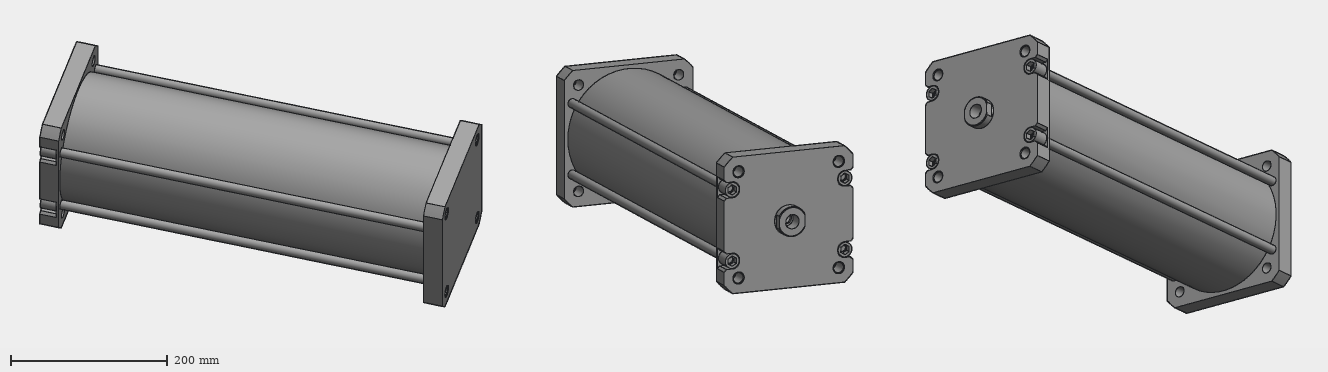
import cadquery as cq

TOTAL_LENGTH = 549.0
ROD_STICK_OUT = 12.0
NOSE_X = -TOTAL_LENGTH / 2
HEAD_FACE_X = NOSE_X + ROD_STICK_OUT
TAIL_FACE_X = TOTAL_LENGTH / 2

CAP_SIZE = 180.0
CAP_CORNER_DIAMETER = 238.5
CAP_THICKNESS = 25.0
MOUNT_HOLE_DIAMETER = 14.0
MOUNT_HOLE_MOUTH_DIAMETER = 16.0
MOUNT_HOLE_SPACING = 140.0
COUNTERSINK_ANGLE = 90
HEAD_INNER_X = HEAD_FACE_X + CAP_THICKNESS
TAIL_INNER_X = TAIL_FACE_X - CAP_THICKNESS

BARREL_DIAMETER = 170.0
BARREL_LENGTH = TAIL_INNER_X - HEAD_INNER_X

ROD_DIAMETER = 39.5
ROD_LENGTH = HEAD_INNER_X - NOSE_X
ROD_TIP_CHAMFER = 1.0
ROD_ACROSS_FLATS = 35.5
FLAT_LENGTH = 10.0
FLAT_CUT = (ROD_DIAMETER - ROD_ACROSS_FLATS) / 2

BORE_DIAMETER = 18.5
BORE_DEPTH = 19.0
CORE_DIAMETER = 15.5
CORE_DEPTH = 24.5
CORE_CONE_DEPTH = 4.5
BORE_STEP = (BORE_DIAMETER - CORE_DIAMETER) / 2

BOLT_SPACING_Y = 157.5
BOLT_SPACING_Z = 94.0
BOLT_DIAMETER = 12.0
BOLT_HEAD_DIAMETER = 19.0
HEX_ACROSS_FLATS = 11.5
HEX_DEPTH = 8.0
PILOT_DIAMETER = 9.5
PILOT_DEPTH = 10.0

POCKET_WIDTH = 21.0
POCKET_DEPTH = 22.0
POCKET_FLARE = 3.5
BOLT_SEAT_X = HEAD_FACE_X + POCKET_DEPTH

BOLT_PLACES = [
    (side * BOLT_SPACING_Y / 2, level * BOLT_SPACING_Z / 2)
    for side in (-1, 1)
    for level in (-1, 1)
]


def plane_at(x):
    """Sketch plane facing +X whose local axes are Y and Z."""
    return cq.Workplane("YZ", origin=(x, 0, 0))


def disc(x, diameter, length, y=0, z=0):
    """Cylinder along +X that starts at x."""
    return plane_at(x).center(y, z).circle(diameter / 2).extrude(length)


def make_cap(x_start, outer_face):
    """Plate with rounded-off corners and four mounting holes countersunk from its outer face."""
    plate = plane_at(x_start).rect(CAP_SIZE, CAP_SIZE).extrude(CAP_THICKNESS)
    plate = plate.intersect(disc(x_start, CAP_CORNER_DIAMETER, CAP_THICKNESS))
    return (
        plate.faces(outer_face)
        .workplane(centerOption="CenterOfBoundBox")
        .rect(MOUNT_HOLE_SPACING, MOUNT_HOLE_SPACING, forConstruction=True)
        .vertices()
        .cskHole(MOUNT_HOLE_DIAMETER, MOUNT_HOLE_MOUTH_DIAMETER, COUNTERSINK_ANGLE)
    )


def make_bolt_pocket(y, z):
    """Slot with a round inner end that runs out through the nearer side face, flaring at 45 degrees."""
    outward = 1 if y > 0 else -1
    half = POCKET_WIDTH / 2
    side_y = outward * CAP_SIZE / 2
    throat_y = side_y - outward * POCKET_FLARE
    return (
        plane_at(HEAD_FACE_X)
        .moveTo(y, z + half)
        .lineTo(throat_y, z + half)
        .lineTo(side_y, z + half + POCKET_FLARE)
        .lineTo(side_y, z - half - POCKET_FLARE)
        .lineTo(throat_y, z - half)
        .lineTo(y, z - half)
        .threePointArc((y - outward * half, z), (y, z + half))
        .close()
        .extrude(POCKET_DEPTH)
    )


def make_head_cap():
    """Cap with a hole for the piston rod and a pocket and hole for each tie bolt."""
    cap = make_cap(HEAD_FACE_X, "<X").cut(disc(HEAD_FACE_X, ROD_DIAMETER, CAP_THICKNESS))
    for y, z in BOLT_PLACES:
        cap = cap.cut(make_bolt_pocket(y, z))
        cap = cap.cut(disc(HEAD_FACE_X, BOLT_DIAMETER, CAP_THICKNESS, y, z))
    return cap


def make_end_cap():
    return make_cap(TAIL_INNER_X, ">X")


def make_barrel():
    return disc(HEAD_INNER_X, BARREL_DIAMETER, BARREL_LENGTH)


def make_flat_cutter(side):
    """Block that cuts one wrench flat and ends in a 45 degree slope."""
    flat_y = side * ROD_ACROSS_FLATS / 2
    rim_y = side * ROD_DIAMETER / 2
    flat_end_x = NOSE_X + FLAT_LENGTH
    return (
        cq.Workplane("XY")
        .moveTo(NOSE_X, flat_y)
        .lineTo(flat_end_x, flat_y)
        .lineTo(flat_end_x + FLAT_CUT, rim_y)
        .lineTo(NOSE_X, rim_y)
        .close()
        .extrude(ROD_DIAMETER / 2, both=True)
    )


def make_bore():
    """Stepped blind bore with a drill cone at its bottom."""
    step_x = NOSE_X + BORE_DEPTH
    cone_x = NOSE_X + CORE_DEPTH
    return (
        cq.Workplane("XY")
        .moveTo(NOSE_X, 0)
        .lineTo(NOSE_X, BORE_DIAMETER / 2)
        .lineTo(step_x, BORE_DIAMETER / 2)
        .lineTo(step_x + BORE_STEP, CORE_DIAMETER / 2)
        .lineTo(cone_x, CORE_DIAMETER / 2)
        .lineTo(cone_x + CORE_CONE_DEPTH, 0)
        .close()
        .revolve(360, (0, 0, 0), (1, 0, 0))
    )


def make_piston_rod():
    """Rod with a chamfered tip, two wrench flats and a blind bore."""
    rod = disc(NOSE_X, ROD_DIAMETER, ROD_LENGTH).faces("<X").edges().chamfer(ROD_TIP_CHAMFER)
    for side in (-1, 1):
        rod = rod.cut(make_flat_cutter(side))
    return rod.cut(make_bore())


def make_tie_bolt(y, z):
    """Socket-head bolt from the outer face of the head cap to the end cap."""
    head = disc(HEAD_FACE_X, BOLT_HEAD_DIAMETER, POCKET_DEPTH, y, z)
    shank = disc(BOLT_SEAT_X, BOLT_DIAMETER, TAIL_INNER_X - BOLT_SEAT_X, y, z)
    hexagon = (
        plane_at(HEAD_FACE_X)
        .center(y, z)
        .polygon(6, HEX_ACROSS_FLATS, circumscribed=True)
        .extrude(HEX_DEPTH)
    )
    pilot = disc(HEAD_FACE_X, PILOT_DIAMETER, PILOT_DEPTH, y, z)
    return head.union(shank).cut(hexagon).cut(pilot)


head_cap = make_head_cap()
end_cap = make_end_cap()
barrel = make_barrel()
piston_rod = make_piston_rod()
tie_bolts = [make_tie_bolt(y, z).val() for y, z in BOLT_PLACES]

result = cq.Compound.makeCompound(
    [head_cap.val(), end_cap.val(), barrel.val(), piston_rod.val(), *tie_bolts]
)